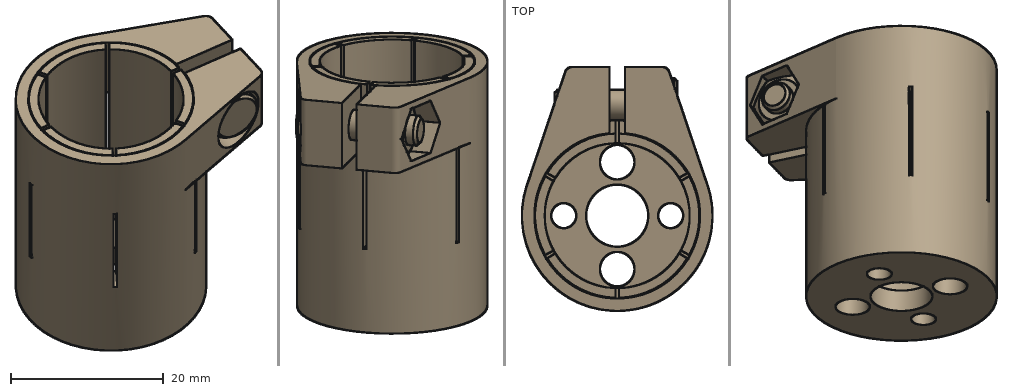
import cadquery as cq
import math

height = 33.5
outer_diameter = 25.0
outer_radius = outer_diameter / 2
bore_diameter = 19.0
neck_diameter = 21.5
floor_thickness = 3.0
collar_height = 8.98
shoulder_z = height - collar_height

slit_count = 6
slit_width = 0.47
slit_bottom_z = 11.45

center_hole_diameter = 8.1
large_hole_diameter = 4.5
small_hole_diameter = 3.25
hole_circle_radius = 7.0

collar_bore_diameter = 21.7
ear_end_y = 32.0 - outer_radius
ear_half_width = 6.6
ear_corner_radius = 1.0
split_width = 2.0

screw_y = 14.5
screw_z = height - collar_height / 2
screw_diameter = 4.0
screw_tip_x = -8.25
screw_tip_chamfer = 0.45
head_diameter = 7.0
head_seat_x = 3.9
head_height = 4.0
head_chamfer = 0.4
head_pocket_diameter = 8.0
nut_seat_x = -3.52
nut_thickness = 3.2
nut_across_flats = 7.0
nut_face_diameter = 5.9
nut_chamfer_angle = 30.0
nut_pocket_across_flats = 7.17
pocket_end_x = outer_radius


def x_plane(x):
    """YZ workplane on the screw axis, facing +X."""
    return cq.Workplane("YZ", origin=(x, screw_y, screw_z))


def x_cylinder(start_x, end_x, diameter):
    return x_plane(start_x).circle(diameter / 2).extrude(end_x - start_x)


def x_hexagon(start_x, end_x, across_flats):
    across_corners = across_flats / math.cos(math.radians(30))
    return x_plane(start_x).polygon(6, across_corners).extrude(end_x - start_x)


def make_sleeve():
    sleeve = cq.Workplane("XY").circle(outer_radius).extrude(shoulder_z)
    neck = cq.Workplane("XY").circle(neck_diameter / 2).extrude(height)
    bore = (
        cq.Workplane("XY", origin=(0, 0, floor_thickness))
        .circle(bore_diameter / 2)
        .extrude(height)
    )
    sleeve = sleeve.union(neck).cut(bore)

    holes = cq.Workplane("XY").circle(center_hole_diameter / 2).extrude(height)
    for side in (-1, 1):
        offset = side * hole_circle_radius
        large_hole = cq.Workplane("XY").center(0, offset).circle(large_hole_diameter / 2)
        small_hole = cq.Workplane("XY").center(offset, 0).circle(small_hole_diameter / 2)
        holes = holes.union(large_hole.extrude(height)).union(small_hole.extrude(height))
    sleeve = sleeve.cut(holes)

    slit = cq.Workplane("XY", origin=(0, 0, slit_bottom_z)).box(
        outer_diameter, slit_width, height, centered=(False, True, False)
    )
    for index in range(slit_count):
        angle = 90 + index * 360 / slit_count
        sleeve = sleeve.cut(slit.rotate((0, 0, 0), (0, 0, 1), angle))
    return sleeve


def make_collar():
    corner_distance = math.hypot(ear_half_width, ear_end_y)
    corner_angle = math.atan2(ear_end_y, ear_half_width)
    tangent_angle = corner_angle - math.acos(outer_radius / corner_distance)
    tangent_x = outer_radius * math.cos(tangent_angle)
    tangent_y = outer_radius * math.sin(tangent_angle)
    collar = (
        cq.Workplane("XY", origin=(0, 0, shoulder_z))
        .moveTo(tangent_x, tangent_y)
        .lineTo(ear_half_width, ear_end_y)
        .lineTo(-ear_half_width, ear_end_y)
        .lineTo(-tangent_x, tangent_y)
        .threePointArc((0, -outer_radius), (tangent_x, tangent_y))
        .close()
        .extrude(collar_height)
    )
    collar = collar.edges("|Z and >Y").fillet(ear_corner_radius)
    bore = (
        cq.Workplane("XY", origin=(0, 0, shoulder_z))
        .circle(collar_bore_diameter / 2)
        .extrude(collar_height)
    )
    split = cq.Workplane("XY", origin=(0, 0, shoulder_z)).box(
        split_width, ear_end_y, collar_height, centered=(True, False, False)
    )
    head_pocket = x_cylinder(head_seat_x, pocket_end_x, head_pocket_diameter)
    nut_pocket = x_hexagon(-pocket_end_x, nut_seat_x, nut_pocket_across_flats)
    return collar.cut(bore).cut(split).cut(head_pocket).cut(nut_pocket)


def make_screw():
    shank = x_cylinder(screw_tip_x, head_seat_x, screw_diameter)
    shank = shank.faces("<X").chamfer(screw_tip_chamfer)
    head = x_cylinder(head_seat_x, head_seat_x + head_height, head_diameter)
    head = head.faces(">X").chamfer(head_chamfer)
    return shank.union(head)


def make_nut():
    nut_face_x = nut_seat_x - nut_thickness
    nut = x_hexagon(nut_face_x, nut_seat_x, nut_across_flats)
    cone_base_radius = nut_face_diameter / 2 + nut_thickness / math.tan(math.radians(nut_chamfer_angle))
    cone = cq.Workplane(
        cq.Solid.makeCone(
            nut_face_diameter / 2,
            cone_base_radius,
            nut_thickness,
            pnt=cq.Vector(nut_face_x, screw_y, screw_z),
            dir=cq.Vector(1, 0, 0),
        )
    )
    return nut.intersect(cone)


result = make_sleeve().union(make_collar()).union(make_screw()).union(make_nut())